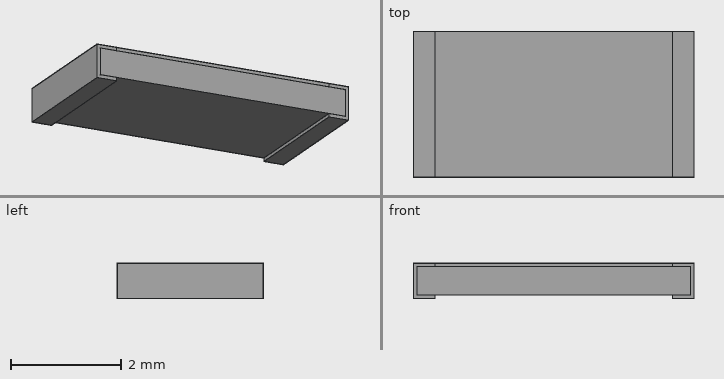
import cadquery as cq

length = 5.1
width = 2.65
height = 0.65

layer = 0.065
terminal_reach = 0.4

core_length = length - 2 * layer
core_height = height - 2 * layer
coating_length = length - 2 * terminal_reach


def block(size_x, size_z, bottom_z):
    """Full-width block centred on X and Y, standing on bottom_z."""
    return (
        cq.Workplane("XY")
        .workplane(offset=bottom_z)
        .box(size_x, width, size_z, centered=(True, True, False))
    )


def make_terminal(side):
    """C-shaped end cap wrapping the core; side is -1 for -X and 1 for +X."""
    center_x = side * (length - terminal_reach) / 2
    cap = block(terminal_reach, height, 0).translate((center_x, 0, 0))
    return cap.cut(core)


core = block(core_length, core_height, layer)

coating = block(coating_length, layer, layer + core_height)

terminals = [make_terminal(side) for side in (-1, 1)]

result = cq.Compound.makeCompound(
    [core.val(), coating.val(), *[solid for terminal in terminals for solid in terminal.solids().vals()]]
)